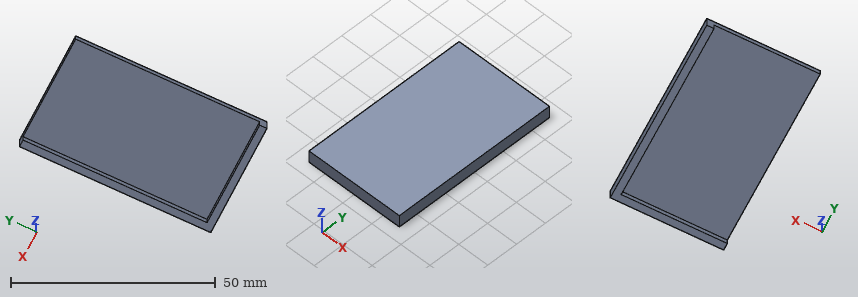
import cadquery as cq

width = 31.15
length = 52.15
height = 4.0
wall = height / 2

block = cq.Workplane("XY").box(width, length, height, centered=(True, True, False))

recess = (
    cq.Workplane("XY")
    .box(width - wall, length - wall, height - wall, centered=(True, True, False))
    .translate((-wall / 2, wall / 2, 0))
)

result = block.cut(recess)